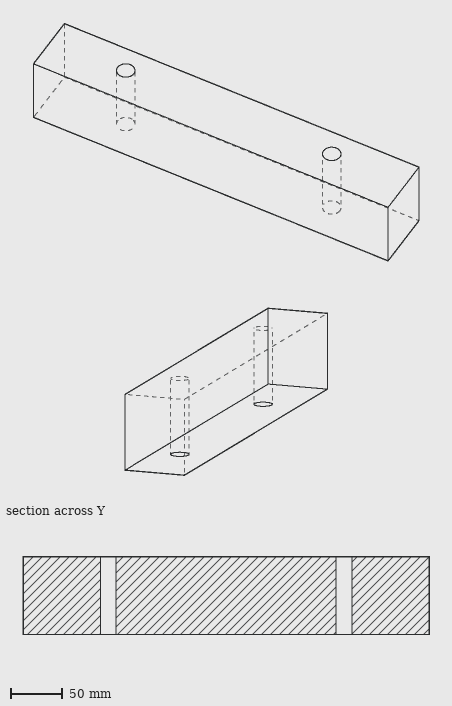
import cadquery as cq

length = 396.0
width = 62.0
height = 76.0

hole_diameter = 18.0
hole_spacing = 230.0
hole_from_back = 26.0

hole_y = width / 2 - hole_from_back
hole_centers = [(side * hole_spacing / 2, hole_y) for side in (-1, 1)]

block = cq.Workplane("XY").box(length, width, height, centered=(True, True, False))
holes = (
    cq.Workplane("XY")
    .pushPoints(hole_centers)
    .circle(hole_diameter / 2)
    .extrude(height)
)

result = block.cut(holes)